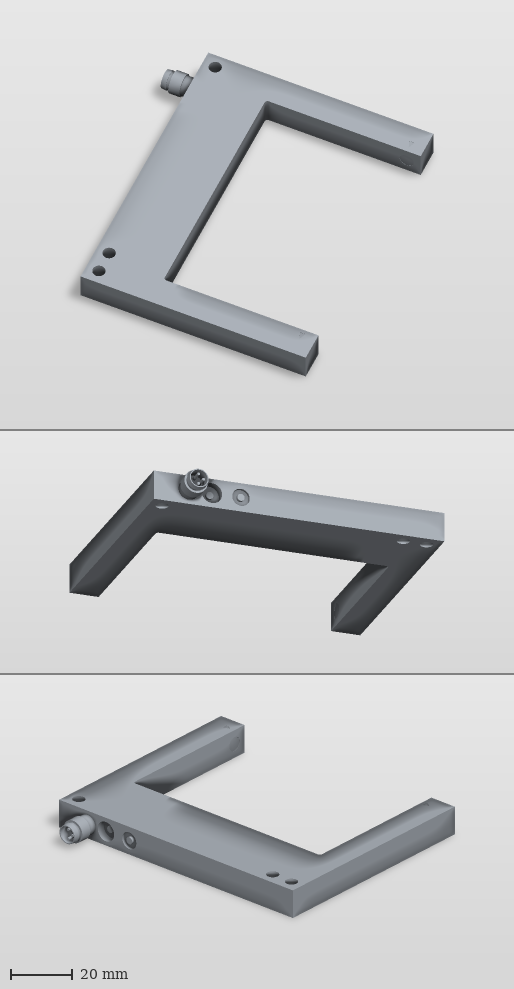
import cadquery as cq

body_length = 80.0
body_width = 100.0
thickness = 10.0
back_depth = 25.0
arm_width = 10.0
inner_corner_radius = 1.0
mid_z = thickness / 2
tip_gap = body_width - 2 * arm_width

mount_diameter = 4.3
mount_inset = 4.5
mount_pitch = 8.0

connector_y = 88.0
adjuster_y = 80.0
indicator_y = 70.0

connector_length = 10.0
tip_length = 1.9
collar_start = 3.1
collar_end = 7.0
neck_diameter = 7.0
collar_diameter = 8.0
groove_diameter = 6.5
tip_diameter = 7.0
tip_end_diameter = 6.5
socket_diameter = 5.8
socket_depth = 5.0
pin_diameter = 1.0
pin_length = 4.5
pin_offset = 1.7

adjuster_diameter = 7.0
adjuster_depth = 3.0
adjuster_stud_height = 1.0
indicator_diameter = 6.0
indicator_depth = 1.0
indicator_stud_height = 1.0
stud_diameter = 2.5

window_diameter = 5.0
window_depth = 0.1
window_inset = 5.0

mark_length = 2.5
mark_width = 2.0
mark_depth = 0.1
mark_inset = 5.0
mark_tip_ys = (6.2, 91.6)


def rod_x(x_start, x_end, diameter, y, z=mid_z):
    """Cylinder along X between two X positions."""
    base = cq.Workplane("YZ", origin=(x_start, y, z))
    return base.circle(diameter / 2).extrude(x_end - x_start)


def make_body():
    body = cq.Workplane("XY").box(body_length, body_width, thickness, centered=False)
    opening = (
        cq.Workplane("XY", origin=(back_depth, arm_width, 0))
        .box(body_length, tip_gap, thickness, centered=False)
        .edges("|Z and <X")
        .fillet(inner_corner_radius)
    )
    hole_ys = (mount_inset, mount_inset + mount_pitch, body_width - mount_inset)
    holes = (
        cq.Workplane("XY")
        .pushPoints([(mount_inset, y) for y in hole_ys])
        .circle(mount_diameter / 2)
        .extrude(thickness)
    )
    return body.cut(opening).cut(holes)


def make_connector():
    """Stepped plug with a conical tip, a blind socket and three contact pins."""
    tip_start = connector_length - tip_length
    profile = [
        (0, 0),
        (0, neck_diameter / 2),
        (-collar_start, neck_diameter / 2),
        (-collar_start, collar_diameter / 2),
        (-collar_end, collar_diameter / 2),
        (-collar_end, groove_diameter / 2),
        (-tip_start, groove_diameter / 2),
        (-tip_start, tip_diameter / 2),
        (-connector_length, tip_end_diameter / 2),
        (-connector_length, 0),
    ]
    plug = (
        cq.Workplane("XY", origin=(0, connector_y, mid_z))
        .polyline(profile)
        .close()
        .revolve(360, (0, 0, 0), (1, 0, 0))
    )
    socket_floor = socket_depth - connector_length
    plug = plug.cut(rod_x(-connector_length, socket_floor, socket_diameter, connector_y))
    for dy, dz in ((0, pin_offset), (0, -pin_offset), (-pin_offset, 0)):
        pin = rod_x(socket_floor - pin_length, socket_floor, pin_diameter, connector_y + dy, mid_z + dz)
        plug = plug.union(pin)
    return plug


def make_recess(y, diameter, depth, stud_height):
    """Cutter for a round recess in the back face that leaves a stud on its floor."""
    stud = rod_x(depth - stud_height, depth, stud_diameter, y)
    return rod_x(0, depth, diameter, y).cut(stud)


def make_windows():
    """Cutter for both optical windows, sunk into the sides of the opening."""
    return (
        cq.Workplane("XZ", origin=(body_length - window_inset, arm_width - window_depth, mid_z))
        .circle(window_diameter / 2)
        .extrude(-(tip_gap + 2 * window_depth))
    )


def make_mark(tip_y):
    mark_x = body_length - mark_inset
    base_y = tip_y + mark_length
    return (
        cq.Workplane("XY", origin=(0, 0, thickness - mark_depth))
        .moveTo(mark_x, tip_y)
        .lineTo(mark_x + mark_width / 2, base_y)
        .lineTo(mark_x - mark_width / 2, base_y)
        .close()
        .extrude(mark_depth)
    )


result = make_body()
result = result.cut(make_recess(adjuster_y, adjuster_diameter, adjuster_depth, adjuster_stud_height))
result = result.cut(make_recess(indicator_y, indicator_diameter, indicator_depth, indicator_stud_height))
result = result.cut(make_windows())
for mark_tip_y in mark_tip_ys:
    result = result.cut(make_mark(mark_tip_y))
result = result.union(make_connector())